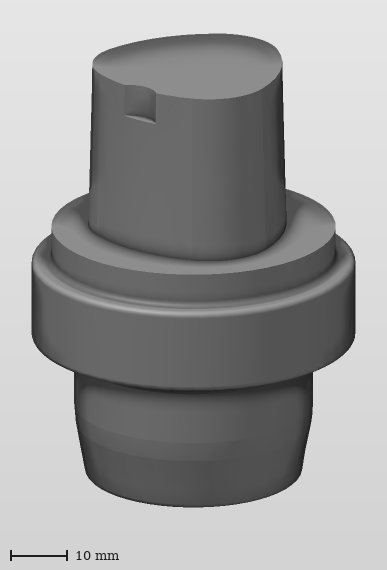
import cadquery as cq
import math

total_height = 76.0
shank_base_z = 46.0
flange_top_z = 40.05
cone_top_z = 25.5
taper_top_z = 11.25

flange_radius = 57.0 / 2
collar_radius = 50.0 / 2
nose_radius = 42.0 / 2
nose_tip_radius = 19.0
cone_angle = 20.0
edge_fillet = 1.0
tip_fillet = 0.9
taper_blend_radius = 19.75

lobe_count = 3
lobe_arc_radius = 11.5
lobe_center_distance = 7.15
flank_reach = 16.3
first_lobe_angle = 90.0
shank_taper = math.degrees(math.atan(1 / 40))

notch_radius = 4.95
notch_depth = 5.7
notch_back_y = -13.8


def polar(distance, degrees):
    angle = math.radians(degrees)
    return distance * math.cos(angle), distance * math.sin(angle)


def fillet_circles(solid, levels, radius):
    margin = 0.1
    reach = flange_radius + margin
    selector = None
    for z in levels:
        band = cq.selectors.BoxSelector(
            (-reach, -reach, z - margin), (reach, reach, z + margin), boundingbox=True
        )
        selector = band if selector is None else selector + band
    return solid.edges(selector).fillet(radius)


def make_body():
    cone_bottom_z = cone_top_z - (flange_radius - nose_radius) * math.tan(math.radians(cone_angle))
    body = (
        cq.Workplane("XZ")
        .polyline([
            (0, 0),
            (nose_tip_radius, 0),
            (nose_radius, taper_top_z),
            (nose_radius, cone_bottom_z),
            (flange_radius, cone_top_z),
            (flange_radius, flange_top_z),
            (collar_radius, flange_top_z),
            (collar_radius, shank_base_z),
            (0, shank_base_z),
        ])
        .close()
        .revolve(360, (0, 0, 0), (0, 1, 0))
    )

    body = fillet_circles(body, [cone_bottom_z, cone_top_z, flange_top_z], edge_fillet)
    body = fillet_circles(body, [taper_top_z], taper_blend_radius)
    return fillet_circles(body, [0], tip_fillet)


def make_shank():
    inset = flank_reach - lobe_arc_radius
    flank_center_distance = (lobe_center_distance**2 - inset**2) / (2 * inset - lobe_center_distance)
    step = 360 / lobe_count

    lobe_center_x, lobe_center_y = polar(lobe_center_distance, 0)
    flank_center_x, flank_center_y = polar(flank_center_distance, -step)
    normal_angle = math.degrees(
        math.atan2(lobe_center_y - flank_center_y, lobe_center_x - flank_center_x)
    )
    offset_x, offset_y = polar(lobe_arc_radius, normal_angle)
    tangent_x = lobe_center_x + offset_x
    tangent_distance = math.hypot(tangent_x, offset_y)
    tangent_angle = math.degrees(math.atan2(offset_y, tangent_x))

    outline = cq.Workplane("XY", origin=(0, 0, shank_base_z))
    outline = outline.moveTo(*polar(tangent_distance, first_lobe_angle - tangent_angle))
    for index in range(lobe_count):
        lobe_angle = first_lobe_angle + index * step
        outline = outline.threePointArc(
            polar(lobe_center_distance + lobe_arc_radius, lobe_angle),
            polar(tangent_distance, lobe_angle + tangent_angle),
        ).threePointArc(
            polar(flank_reach, lobe_angle + step / 2),
            polar(tangent_distance, lobe_angle + step - tangent_angle),
        )
    return outline.close().extrude(total_height - shank_base_z, taper=shank_taper)


def make_notch():
    return (
        cq.Workplane("XY", origin=(0, notch_back_y - notch_radius, total_height - notch_depth))
        .circle(notch_radius)
        .extrude(notch_depth)
    )


result = make_body().union(make_shank()).cut(make_notch())